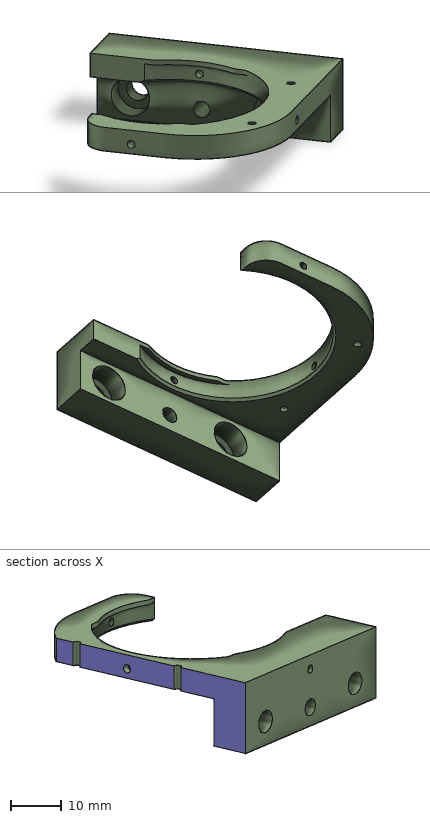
import cadquery as cq
import math

width = 49.0
length = 53.5
height = 15.0

plate_thickness = 5.05
block_depth = 7.95
outer_corner_radius = 20.0
tip_x = 11.5
tip_radius = 5.0

ring_x = 22.0
ring_y = 24.0
seat_radius = 20.0
lip_radius = 19.0
mouth_half_width = 17.0
lip_thickness = 1.0
lip_corner_radius = 2.0
seat_chamfer = 0.55

pin_diameter = 1.6
pin_depth_below_top = 3.0
pin_x = 43.65
pin_spacing = 25.05
screw_spacing = 29.95
screw_depth_below_top = 10.0
screw_diameter = 4.55
counterbore_diameter = 8.0
counterbore_depth = 4.5
center_hole_diameter = 3.4
center_hole_depth_below_top = 11.0


def make_body():
    """L-section body: a hooked plate with a mounting block along its rear edge."""
    plate = (
        cq.Workplane("XY")
        .workplane(offset=-plate_thickness)
        .moveTo(0, length)
        .lineTo(width, length)
        .lineTo(width, outer_corner_radius)
        .radiusArc((width - outer_corner_radius, 0), outer_corner_radius)
        .lineTo(tip_x + tip_radius, 0)
        .radiusArc((tip_x, tip_radius), tip_radius)
        .lineTo(tip_x, ring_y)
        .lineTo(0, ring_y)
        .close()
        .extrude(plate_thickness)
    )
    block = cq.Workplane("XY").box(width, block_depth, height, centered=False)
    return plate.union(block.translate((0, length - block_depth, -height)))


def ring_disc(radius, bottom, thickness):
    return cq.Workplane("XY", origin=(ring_x, ring_y, bottom)).circle(radius).extrude(thickness)


def make_lip_opening():
    """Opening through the lip: an arched band whose six corners beside the seat are rounded."""
    arch_reach = math.sqrt(lip_radius**2 - mouth_half_width**2)
    seat_corner_reach = math.sqrt(seat_radius**2 - mouth_half_width**2)
    opening = (
        cq.Workplane("XY", origin=(ring_x, ring_y, -lip_thickness))
        .moveTo(-ring_x, -mouth_half_width)
        .lineTo(-arch_reach, -mouth_half_width)
        .threePointArc((0, -lip_radius), (arch_reach, -mouth_half_width))
        .lineTo(seat_corner_reach, -mouth_half_width)
        .threePointArc((seat_radius, 0), (seat_corner_reach, mouth_half_width))
        .lineTo(arch_reach, mouth_half_width)
        .threePointArc((0, lip_radius), (-arch_reach, mouth_half_width))
        .lineTo(-ring_x, mouth_half_width)
        .close()
        .extrude(lip_thickness)
    )
    return opening.edges("|Z").edges("not <X").fillet(lip_corner_radius)


def make_seat():
    """Round seat below the lip, with a straight mouth to the left and a flared bottom edge."""
    seat_height = plate_thickness - lip_thickness
    seat = ring_disc(seat_radius, -plate_thickness, seat_height)
    mouth = (
        cq.Workplane("XY")
        .box(ring_x, 2 * mouth_half_width, seat_height, centered=(False, True, False))
        .translate((0, ring_y, -plate_thickness))
    )
    flare = (
        cq.Workplane("XY", origin=(ring_x, ring_y, -plate_thickness))
        .circle(seat_radius + seat_chamfer)
        .workplane(offset=seat_chamfer)
        .circle(seat_radius)
        .loft()
    )
    return seat.union(mouth).union(flare)


def hole_along_y(x, z, diameter, start_y, depth):
    return cq.Workplane("XZ", origin=(x, start_y, z)).circle(diameter / 2).extrude(-depth)


def cut_holes(body):
    body = body.cut(hole_along_y(ring_x, -pin_depth_below_top, pin_diameter, 0, length))
    cross_pin = cq.Workplane("YZ", origin=(0, ring_y, -pin_depth_below_top))
    body = body.cut(cross_pin.circle(pin_diameter / 2).extrude(width))
    for side in (-1, 1):
        pin_y = ring_y + side * pin_spacing / 2
        pin = cq.Workplane("XY", origin=(pin_x, pin_y, 0)).circle(pin_diameter / 2)
        body = body.cut(pin.extrude(-plate_thickness))

    block_front = length - block_depth
    body = body.cut(
        hole_along_y(ring_x, -center_hole_depth_below_top, center_hole_diameter, block_front, block_depth)
    )
    for side in (-1, 1):
        screw_x = ring_x + side * screw_spacing / 2
        for diameter, depth in (
            (screw_diameter, block_depth),
            (counterbore_diameter, counterbore_depth),
        ):
            body = body.cut(hole_along_y(screw_x, -screw_depth_below_top, diameter, block_front, depth))
    return body


result = cut_holes(make_body().cut(make_seat()).cut(make_lip_opening()))